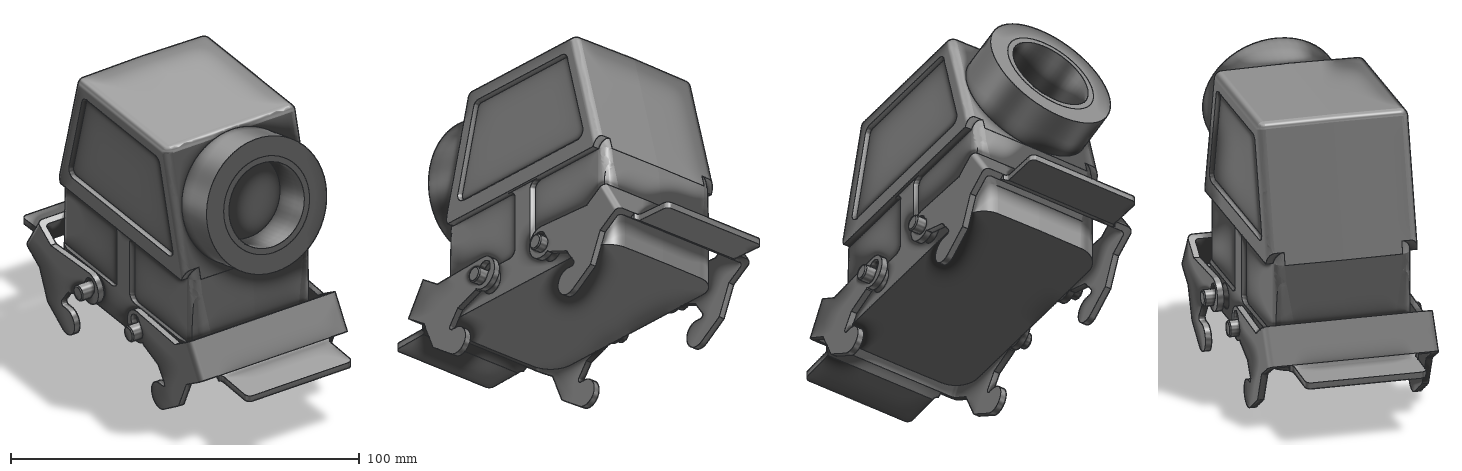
import cadquery as cq
import math


TOP_Z = 71.7
SKIRT_Z = 31.6
SKIRT_HALF_X = 34.5
HOOD_HALF_Y = 22.5
END_TILT = 15.0
SIDE_DRAFT = 0.2
HOOD_FILLET = 2.3
TILT_TAN = math.tan(math.radians(END_TILT))
TOP_HALF_X = SKIRT_HALF_X - (TOP_Z - SKIRT_Z) * TILT_TAN

WINDOW_TOP_Z = 66.7
WINDOW_BOTTOM_Z = 36.6
WINDOW_BOTTOM_HALF_X = 28.0
WINDOW_CORNER_R = 2.4
WINDOW_DEPTH = 1.2
WINDOW_WALL_TAPER = 30.0

PLINTH_Z = 10.3
PLINTH_HALF_X = 36.4
PLINTH_HALF_Y = 21.7
PLINTH_CORNER_R = 7.6
WAIST_HALF_Y = 20.4
WAIST_CORNER_R = 2.8
WAIST_FOOT_CORNER_R = 4.6
BLEND_TOP_Z = 29.0
WAIST_DRAFT = (PLINTH_HALF_X - SKIRT_HALF_X) / (SKIRT_Z - PLINTH_Z)
RIB_HALF_X = 3.3
RIB_WALL_RUN = 0.8
RIB_FLARE_R = 2.3

NOTCH_TOP_Z = 35.5
NOTCH_INNER_X = 31.6

COLLAR_DIA = 40.7
COLLAR_LENGTH = 13.2
COLLAR_ROOT = 2.4
COLLAR_AXIS_Z = 51.3
SLEEVE_OUTER_DIA = 29.0
SLEEVE_INNER_DIA = 25.5

PIVOT_X = 13.3
PIVOT_Z = 6.0
PIN_DIA = 4.7
PIN_SPAN_Y = 57.2
PIN_CHAMFER = 0.4
PIN_CONE_HEIGHT = 1.4

LEVER_HALF_Y = 25.5
LEVER_SHIFT_Y = 0.2
LEVER_SWING = 0.25
SHEET = 1.9
LEVER_REACH = 59.3
BEND_OUTER_R = 1.8
BEND_INNER_R = 1.2
SLOT_RUN_X = 1.4
SLOT_RUN_Z = 2.3
EYE_R = 5.0
BRIDGE_TOP = (-39.7, 15.8)
BRIDGE_LENGTH = 12.0
BRIDGE_ANGLE = 58.0
ARM_TOP_RUN = 8.5
ARM_BOTTOM_RUN = 9.0
EYE_ROOT = (-15.8, 2.8)
THROAT_START = (-23.6, 0.0)
HOOK_CENTRE = (-24.3, -10.1)
HOOK_R = 4.1
THROAT_CORNER = (-28.0, HOOK_CENTRE[1] + HOOK_R)
THROAT_R = 1.0
HOOK_HEEL = (-34.3, -8.5)

TAB_END_X = -59.3
TAB_END_TOP_Z = 4.7
TAB_BEND_X = -48.0
TAB_BEND_TOP_Z = 5.1
TAB_FLARE = 1.2
TAB_HALF_Y = 18.0
TAB_CORNER_R = 1.8


def prism(points, y_min, y_max):
    """XZ outline extruded between two Y planes."""
    outline = cq.Workplane("XZ", origin=(0, y_max, 0)).polyline(points).close()
    return outline.extrude(y_max - y_min)


def y_cylinder(centre, radius, y_min, y_max):
    """Cylinder along Y around an (x, z) centre."""
    disc = cq.Workplane("XZ", origin=(centre[0], y_max, centre[1])).circle(radius)
    return disc.extrude(y_max - y_min)


def both_sides(half):
    """A +Y feature together with its mirror image."""
    return half.union(half.mirror("XZ"), clean=False)


def lower_section(z, half_x, half_y, radius):
    """Rounded section of the lower hood; its ends fall back slightly from mid-plane."""
    side_x = half_x - SIDE_DRAFT
    outline = [
        (half_x, 0),
        (side_x, half_y),
        (-side_x, half_y),
        (-half_x, 0),
        (-side_x, -half_y),
        (side_x, -half_y),
        (half_x, 0),
    ]
    section = cq.Sketch().polygon(outline).vertices(">Y or <Y").fillet(radius)
    return section.moved(cq.Location(cq.Vector(0, 0, z)))


def lower_loft(bottom, top):
    """Straight-walled body between two lower sections."""
    return cq.Workplane().placeSketch(bottom, top).loft(ruled=True)



def cap_outline(inset):
    """XZ trapezoid of the upper hood, drawn in by the draft."""
    skirt_x = SKIRT_HALF_X - inset
    top_x = TOP_HALF_X - inset
    top_z = TOP_Z - inset
    return [(-skirt_x, SKIRT_Z), (skirt_x, SKIRT_Z), (top_x, top_z), (-top_x, top_z)]


def upper_hood():
    """Tapered cap whose roof and ends fall away slightly from a crease at mid-plane."""
    half = (
        cq.Workplane("XZ")
        .polyline(cap_outline(0))
        .close()
        .workplane(offset=-HOOD_HALF_Y)
        .polyline(cap_outline(SIDE_DRAFT))
        .close()
        .loft(ruled=True)
    )
    return both_sides(half.edges("not(<Y or <Z)").fillet(HOOD_FILLET))


def label_windows():
    """Shallow tapered recess with rounded corners for each side of the cap."""
    top_half_x = WINDOW_BOTTOM_HALF_X - (WINDOW_TOP_Z - WINDOW_BOTTOM_Z) * TILT_TAN
    outline = [
        (-WINDOW_BOTTOM_HALF_X, WINDOW_BOTTOM_Z),
        (WINDOW_BOTTOM_HALF_X, WINDOW_BOTTOM_Z),
        (top_half_x, WINDOW_TOP_Z),
        (-top_half_x, WINDOW_TOP_Z),
    ]
    mouth = cq.Sketch().polygon(outline + outline[:1]).vertices().fillet(WINDOW_CORNER_R)
    recess = (
        cq.Workplane("XZ", origin=(0, HOOD_HALF_Y, 0))
        .placeSketch(mouth)
        .extrude(WINDOW_DEPTH, taper=WINDOW_WALL_TAPER)
    )
    return both_sides(recess)


def plinth():
    size = (PLINTH_HALF_X, PLINTH_HALF_Y, PLINTH_CORNER_R)
    return lower_loft(lower_section(0, *size), lower_section(PLINTH_Z, *size))


def skirt_section():
    return lower_section(SKIRT_Z, SKIRT_HALF_X, WAIST_HALF_Y, WAIST_CORNER_R)


def waist():
    """Drafted waist whose rounded corners are trimmed back towards the plinth."""
    foot = lower_section(PLINTH_Z, PLINTH_HALF_X, WAIST_HALF_Y, WAIST_FOOT_CORNER_R)
    blend_foot = lower_section(PLINTH_Z, PLINTH_HALF_X, PLINTH_HALF_Y, PLINTH_CORNER_R)
    blend_top_x = SKIRT_HALF_X + (SKIRT_Z - BLEND_TOP_Z) * WAIST_DRAFT
    blend_top = lower_section(BLEND_TOP_Z, blend_top_x, WAIST_HALF_Y, WAIST_CORNER_R)
    above_blend = cq.Workplane(origin=(0, 0, BLEND_TOP_Z)).rect(2 * PLINTH_HALF_X, 2 * PLINTH_HALF_Y)
    keep = lower_loft(blend_foot, blend_top).union(above_blend.extrude(SKIRT_Z - BLEND_TOP_Z))
    return lower_loft(foot, skirt_section()).intersect(keep)


def ribs():
    """Upright rib on each side, flaring into the plinth below and the skirt above."""
    height = SKIRT_Z - PLINTH_Z
    blank_half_x = RIB_HALF_X + 2 * RIB_FLARE_R
    base = cq.Workplane(origin=(0, 0, PLINTH_Z))
    blank = base.rect(2 * blank_half_x, 2 * PLINTH_HALF_Y).extrude(height)
    panel = (
        cq.Workplane(origin=(0, 0, PLINTH_Z))
        .polyline(
            [
                (RIB_HALF_X, PLINTH_HALF_Y),
                (RIB_HALF_X + RIB_WALL_RUN, WAIST_HALF_Y),
                (blank_half_x, WAIST_HALF_Y),
                (blank_half_x, PLINTH_HALF_Y),
            ]
        )
        .close()
        .extrude(height)
        .faces("<X")
        .edges("not |Z")
        .edges("<Z or >Z")
        .fillet(RIB_FLARE_R)
    )
    panels = both_sides(panel)
    return blank.cut(panels).cut(panels.mirror("YZ"))


def corner_notches():
    """Wedges under the skirt corners, outside the waist's rounded corners."""
    notch_top_x = SKIRT_HALF_X - (NOTCH_TOP_Z - SKIRT_Z) * TILT_TAN
    wedge_outline = [
        (NOTCH_INNER_X, SKIRT_Z),
        (notch_top_x, NOTCH_TOP_Z),
        (SKIRT_HALF_X, SKIRT_Z),
    ]
    wedge = prism(wedge_outline, WAIST_HALF_Y - WAIST_CORNER_R, HOOD_HALF_Y)
    wedges = both_sides(wedge)
    wedges = wedges.union(wedges.mirror("YZ"))
    rounded_core = lower_loft(
        skirt_section(), lower_section(NOTCH_TOP_Z, notch_top_x, WAIST_HALF_Y, WAIST_CORNER_R)
    )
    return wedges.cut(rounded_core)


def collar_plane(distance):
    """Plane square to the collar axis, at a distance outward from the end wall."""
    tilt = math.radians(END_TILT)
    axis = (math.cos(tilt), 0, math.sin(tilt))
    wall_x = SKIRT_HALF_X - (COLLAR_AXIS_Z - SKIRT_Z) * TILT_TAN
    origin = (wall_x + distance * axis[0], 0, COLLAR_AXIS_Z + distance * axis[2])
    return cq.Plane(origin=origin, xDir=(0, 1, 0), normal=axis)


def collar():
    disc = cq.Workplane(collar_plane(-COLLAR_ROOT)).circle(COLLAR_DIA / 2)
    return disc.extrude(COLLAR_ROOT + COLLAR_LENGTH)


def sleeve_seat():
    return cq.Workplane(collar_plane(0)).circle(SLEEVE_OUTER_DIA / 2).extrude(COLLAR_LENGTH)


def pivot_pins():
    """Four pins, each rising from a cone on the plinth side."""
    pin_r = PIN_DIA / 2
    length = PIN_SPAN_Y / 2 - PLINTH_HALF_Y
    profile = [
        (0, 0),
        (pin_r + PIN_CONE_HEIGHT, 0),
        (pin_r, PIN_CONE_HEIGHT),
        (pin_r, length - PIN_CHAMFER),
        (pin_r - PIN_CHAMFER, length),
        (0, length),
    ]
    pin = (
        cq.Workplane("XY", origin=(PIVOT_X, PLINTH_HALF_Y, PIVOT_Z))
        .polyline(profile)
        .close()
        .revolve(360, (0, 0, 0), (0, 1, 0))
    )
    pair = both_sides(pin)
    return pair.union(pair.mirror("YZ"))


def make_hood():
    body = upper_hood().cut(label_windows()).cut(corner_notches())
    for part in [plinth(), waist(), ribs(), collar(), pivot_pins()]:
        body = body.union(part)
    return body.cut(sleeve_seat())



def make_sleeve():
    """Plain ring filling the collar's seat, flush with the collar face."""
    ring = cq.Workplane(collar_plane(0)).circle(SLEEVE_OUTER_DIA / 2).circle(SLEEVE_INNER_DIA / 2)
    return ring.extrude(COLLAR_LENGTH)



def along(start, distance, angle):
    """Point at a distance from an (x, z) start, in a direction given in degrees."""
    turn = math.radians(angle)
    return (start[0] + distance * math.cos(turn), start[1] + distance * math.sin(turn))


def tangent_point(start, centre, radius, side):
    """Where a line from a start point touches a circle; side is +1 or -1."""
    dx = start[0] - centre[0]
    dz = start[1] - centre[1]
    spread = math.degrees(math.acos(radius / math.hypot(dx, dz)))
    bearing = math.degrees(math.atan2(dz, dx))
    return along(centre, radius, bearing + side * spread)


SQUARE_ANGLE = BRIDGE_ANGLE - 90
BRIDGE_BOTTOM = along(BRIDGE_TOP, BRIDGE_LENGTH, BRIDGE_ANGLE + 180)
EYE_CENTRE = (SLOT_RUN_X / 2 - PIVOT_X, PIVOT_Z + SLOT_RUN_Z / 2)


def lever_blank():
    """Side outline of the lever, full width: arm, pivot eye and hook."""
    arm_top = along(BRIDGE_TOP, ARM_TOP_RUN, SQUARE_ANGLE)
    arm_bottom = along(BRIDGE_BOTTOM, ARM_BOTTOM_RUN, SQUARE_ANGLE)
    outline = [
        BRIDGE_TOP,
        arm_top,
        tangent_point(arm_top, EYE_CENTRE, EYE_R, -1),
        EYE_CENTRE,
        EYE_ROOT,
        THROAT_START,
        THROAT_CORNER,
        (HOOK_CENTRE[0], THROAT_CORNER[1]),
        HOOK_CENTRE,
        tangent_point(HOOK_HEEL, HOOK_CENTRE, HOOK_R, 1),
        HOOK_HEEL,
        arm_bottom,
        BRIDGE_BOTTOM,
    ]
    throat = cq.selectors.NearestToPointSelector((THROAT_CORNER[0], 0, THROAT_CORNER[1]))
    arm = prism(outline, -LEVER_HALF_Y, LEVER_HALF_Y).edges("|Y").edges(throat).fillet(THROAT_R)
    eye = y_cylinder(EYE_CENTRE, EYE_R, -LEVER_HALF_Y, LEVER_HALF_Y)
    hook = y_cylinder(HOOK_CENTRE, HOOK_R, -LEVER_HALF_Y, LEVER_HALF_Y)
    return arm.union(eye).union(hook)


def bridge_prism(start, end, half_y, corner_r):
    """Prism running along the bridge, between two depths square to its outer face."""
    square = along((0, 0), 1, SQUARE_ANGLE)
    plane = cq.Plane(
        origin=(BRIDGE_TOP[0], 0, BRIDGE_TOP[1]),
        xDir=(square[0], 0, square[1]),
        normal=(-square[1], 0, square[0]),
    )
    section = cq.Sketch().push([((start + end) / 2, 0)]).rect(end - start, 2 * half_y)
    section = section.reset().vertices().fillet(corner_r)
    return cq.Workplane(plane).placeSketch(section).extrude(LEVER_REACH, both=True)


def folded_sheet():
    """U of sheet metal: a bridge and two arms, rounded inside and outside both bends."""
    outside = bridge_prism(0, LEVER_REACH, LEVER_HALF_Y, BEND_OUTER_R)
    inside = bridge_prism(SHEET, LEVER_REACH, LEVER_HALF_Y - SHEET, BEND_INNER_R)
    return lever_blank().intersect(outside).cut(inside)


def finger_tab():
    """Flat tab bent outward from the bridge's lower edge."""
    tab_slope = (TAB_BEND_TOP_Z - TAB_END_TOP_Z) / (TAB_BEND_X - TAB_END_X)
    side = (
        cq.Workplane("XZ")
        .moveTo(TAB_END_X, TAB_END_TOP_Z)
        .lineTo(TAB_BEND_X, TAB_BEND_TOP_Z)
        .tangentArcPoint(BRIDGE_BOTTOM, relative=False)
        .lineTo(*along(BRIDGE_BOTTOM, SHEET, SQUARE_ANGLE))
        .lineTo(TAB_BEND_X + SHEET / 2, TAB_BEND_TOP_Z - SHEET)
        .lineTo(TAB_END_X + SHEET * tab_slope, TAB_END_TOP_Z - SHEET)
        .close()
        .extrude(LEVER_HALF_Y, both=True)
    )
    flare_x = BRIDGE_BOTTOM[0] - TAB_FLARE
    flare_end = (BRIDGE_BOTTOM[0], TAB_HALF_Y + TAB_FLARE)
    half_plan = (
        cq.Workplane()
        .moveTo(TAB_END_X, 0)
        .lineTo(TAB_END_X, TAB_HALF_Y - TAB_CORNER_R)
        .radiusArc((TAB_END_X + TAB_CORNER_R, TAB_HALF_Y), TAB_CORNER_R)
        .lineTo(flare_x, TAB_HALF_Y)
        .radiusArc(flare_end, -TAB_FLARE)
        .lineTo(EYE_CENTRE[0], flare_end[1])
        .lineTo(EYE_CENTRE[0], 0)
        .close()
        .extrude(BRIDGE_TOP[1])
    )
    return side.intersect(half_plan.union(half_plan.mirror("XZ")))


def pivot_slot():
    """Slot through both arms, one end seated on the pin."""
    run = math.hypot(SLOT_RUN_X, SLOT_RUN_Z)
    lean = math.degrees(math.atan2(SLOT_RUN_Z, SLOT_RUN_X))
    return (
        cq.Workplane("XZ", origin=(EYE_CENTRE[0], LEVER_HALF_Y, EYE_CENTRE[1]))
        .slot2D(run + PIN_DIA, PIN_DIA, lean)
        .extrude(2 * LEVER_HALF_Y)
    )


def make_lever():
    return folded_sheet().union(finger_tab()).cut(pivot_slot()).translate((0, LEVER_SHIFT_Y, 0))


def swung(lever, pivot_x):
    """Lever turned slightly about its pivot pins."""
    return lever.rotate((pivot_x, 0, PIVOT_Z), (pivot_x, 1, PIVOT_Z), -LEVER_SWING)


hood = make_hood()
sleeve = make_sleeve()
left_lever = swung(make_lever(), -PIVOT_X)
right_lever = swung(make_lever().mirror("YZ"), PIVOT_X)

result = cq.Compound.makeCompound([hood.val(), sleeve.val(), left_lever.val(), right_lever.val()])